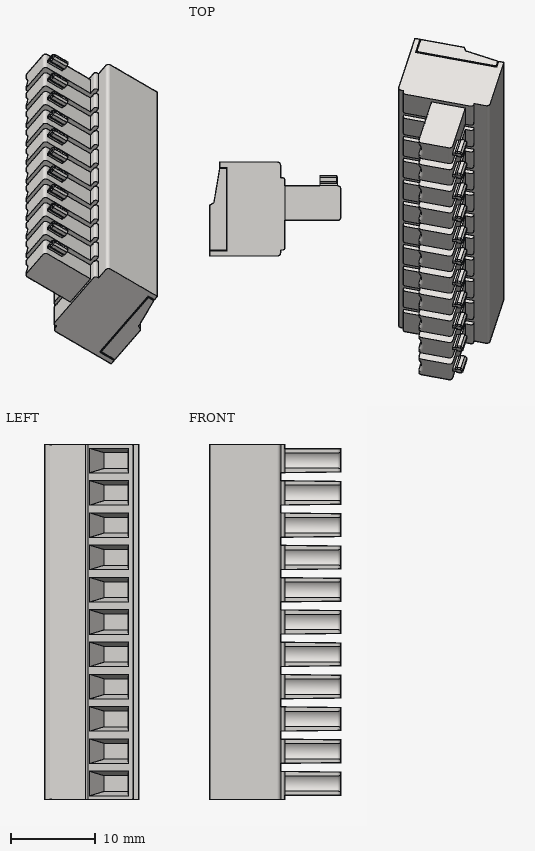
import cadquery as cq
import math

POLE_COUNT = 11
PITCH = 3.81
LENGTH = POLE_COUNT * PITCH

HOUSING_WIDTH = 11.1
HOUSING_DEPTH = 8.4
HOUSING_FILLET = 0.4
TOP_LIP_X = 1.2
TOP_LIP_THICKNESS = 0.65
BEVEL_START_X = 0.5
BEVEL_START_Y = 6.3
BEVEL_END_Y = 6.0

SHOULDER_DEPTH = 0.5
SHOULDER_Y_MIN = 0.7
SHOULDER_Y_MAX = 9.25
SHOULDER_FILLET = 0.3
FINGER_ROOT_X = HOUSING_DEPTH + SHOULDER_DEPTH

PARTING_WIDTH = 0.1
PARTING_DEPTH = 0.1
PARTING_X = 1.98
PARTING_Y_MIN = 0.61
PARTING_Y_MAX = HOUSING_WIDTH - TOP_LIP_THICKNESS

FUNNEL_DEPTH = 2.0
FUNNEL_MOUTH_Y = (1.2, 5.8)
FUNNEL_MOUTH_HEIGHT = 2.9
FUNNEL_FLOOR_Y = (1.3, 4.1)
FUNNEL_FLOOR_HEIGHT = 1.86

FINGER_TIP_X = 15.5
FINGER_Y_MIN = 4.2
FINGER_Y_MAX = 8.3
FINGER_ROOT_HALF_HEIGHT = 1.44
FINGER_DRAFT = 0.7
END_FINGER_MARGIN = 0.5
FINGER_TIP_FILLET = 0.4

GROOVE_RADIUS = 1.5
GROOVE_DEPTH = 0.3

KEY_X_MIN = 13.0
KEY_X_MAX = 15.1
KEY_HEIGHT = 1.2
KEY_NECK_WIDTH = 0.4
KEY_NECK_HEIGHT = 0.25
KEY_FLARE = 0.25
KEY_CHAMFER = 0.25
KEY_TIP_CHAMFER = 0.15

TOLERANCE = 0.01


def pole_z(index):
    """Height of a pole's centre plane."""
    return (index + 0.5) * PITCH


def box(x_range, y_range, z_range):
    """Axis-aligned box from its limits along each axis."""
    corner = (x_range[0], y_range[0], z_range[0])
    spans = [high - low for low, high in (x_range, y_range, z_range)]
    return cq.Workplane("XY").box(*spans, centered=False).translate(corner)


def make_housing():
    outline = [
        (0, 0),
        (HOUSING_DEPTH, 0),
        (HOUSING_DEPTH, HOUSING_WIDTH),
        (TOP_LIP_X, HOUSING_WIDTH),
        (TOP_LIP_X, HOUSING_WIDTH - TOP_LIP_THICKNESS),
        (BEVEL_START_X, BEVEL_START_Y),
        (0, BEVEL_END_Y),
    ]
    housing = cq.Workplane("XY").polyline(outline).close().extrude(LENGTH)
    return housing.edges("|Z and >X").fillet(HOUSING_FILLET)


def make_shoulder():
    x_range = (HOUSING_DEPTH - HOUSING_FILLET, FINGER_ROOT_X)
    plate = box(x_range, (SHOULDER_Y_MIN, SHOULDER_Y_MAX), (0, LENGTH))
    return plate.edges("|Z and >X").fillet(SHOULDER_FILLET)


def make_shoulder_gap(index):
    """Slot through the shoulder between this pole's finger and the next one."""
    low = pole_z(index) + FINGER_ROOT_HALF_HEIGHT
    high = pole_z(index + 1) - FINGER_ROOT_HALF_HEIGHT
    return box((HOUSING_DEPTH, FINGER_ROOT_X), (0, HOUSING_WIDTH), (low, high))


def make_end_parting(z_start):
    """U-shaped groove in an end face: along the -Y rim, behind the face block and along the +Y lip."""
    z_range = (z_start, z_start + PARTING_DEPTH)
    x_range = (PARTING_X, PARTING_X + PARTING_WIDTH)
    y_range = (PARTING_Y_MIN, PARTING_Y_MIN + PARTING_WIDTH)
    rim_leg = box((0, x_range[1]), y_range, z_range)
    rear_leg = box(x_range, (PARTING_Y_MIN, PARTING_Y_MAX), z_range)
    lip_leg = box((0, x_range[1]), (PARTING_Y_MAX - PARTING_WIDTH, PARTING_Y_MAX), z_range)
    return rim_leg.union(rear_leg).union(lip_leg)


def make_face_parting():
    """Groove beside the -Y rim along the whole -X face."""
    y_range = (PARTING_Y_MIN, PARTING_Y_MIN + PARTING_WIDTH)
    return box((0, PARTING_DEPTH), y_range, (0, LENGTH))


def make_funnel(index):
    """Tapered wire opening, wide at the -X face."""
    z = pole_z(index)
    mouth_width = FUNNEL_MOUTH_Y[1] - FUNNEL_MOUTH_Y[0]
    floor_width = FUNNEL_FLOOR_Y[1] - FUNNEL_FLOOR_Y[0]
    floor_shift = (sum(FUNNEL_FLOOR_Y) - sum(FUNNEL_MOUTH_Y)) / 2
    return (
        cq.Workplane("YZ", origin=(0, sum(FUNNEL_MOUTH_Y) / 2, z))
        .rect(mouth_width, FUNNEL_MOUTH_HEIGHT)
        .workplane(offset=FUNNEL_DEPTH)
        .center(floor_shift, 0)
        .rect(floor_width, FUNNEL_FLOOR_HEIGHT)
        .loft(ruled=True)
    )


def make_finger(index):
    z = pole_z(index)
    draft = (FINGER_TIP_X - FINGER_ROOT_X) * math.tan(math.radians(FINGER_DRAFT))
    root_low = z - FINGER_ROOT_HALF_HEIGHT
    root_high = z + FINGER_ROOT_HALF_HEIGHT
    tip_low = root_low + draft
    tip_high = root_high - draft
    if index == 0:
        root_low = tip_low = END_FINGER_MARGIN
    if index == POLE_COUNT - 1:
        root_high = tip_high = LENGTH - END_FINGER_MARGIN
    outline = [
        (FINGER_ROOT_X, root_low),
        (FINGER_TIP_X, tip_low),
        (FINGER_TIP_X, tip_high),
        (FINGER_ROOT_X, root_high),
    ]
    finger = (
        cq.Workplane("XZ", origin=(0, FINGER_Y_MIN, 0))
        .polyline(outline)
        .close()
        .extrude(FINGER_Y_MIN - FINGER_Y_MAX)
    )
    groove = (
        cq.Workplane("YZ", origin=(FINGER_ROOT_X, FINGER_Y_MIN + GROOVE_DEPTH - GROOVE_RADIUS, z))
        .circle(GROOVE_RADIUS)
        .extrude(FINGER_TIP_X - FINGER_ROOT_X)
    )
    tip_edges = cq.selectors.BoxSelector(
        (FINGER_TIP_X - TOLERANCE, FINGER_Y_MIN - TOLERANCE, 0),
        (FINGER_TIP_X + TOLERANCE, FINGER_Y_MIN + GROOVE_DEPTH + TOLERANCE, LENGTH),
    )
    finger = finger.cut(groove)
    finger = finger.edges(">X and >Y").fillet(FINGER_TIP_FILLET)
    return finger.edges(tip_edges).fillet(FINGER_TIP_FILLET)


def make_key(index):
    """Undercut coding key: a narrow neck that flares into a chamfered head."""
    neck = KEY_NECK_WIDTH / 2
    head = neck + KEY_FLARE
    top = FINGER_Y_MAX + KEY_HEIGHT
    neck_top = FINGER_Y_MAX + KEY_NECK_HEIGHT
    right_side = [
        (FINGER_Y_MAX - FINGER_TIP_FILLET, neck),
        (neck_top, neck),
        (neck_top + KEY_FLARE, head),
        (top - KEY_CHAMFER, head),
        (top, head - KEY_CHAMFER),
    ]
    left_side = [(y, -z) for y, z in reversed(right_side)]
    key = (
        cq.Workplane("YZ", origin=(KEY_X_MIN, 0, pole_z(index)))
        .polyline(right_side + left_side)
        .close()
        .extrude(KEY_X_MAX - KEY_X_MIN)
    )
    head_tip_edges = cq.selectors.BoxSelector(
        (KEY_X_MAX - TOLERANCE, neck_top + TOLERANCE, 0),
        (KEY_X_MAX + TOLERANCE, top + TOLERANCE, LENGTH),
    )
    return key.edges(head_tip_edges).chamfer(KEY_TIP_CHAMFER)


result = make_housing().union(make_shoulder())
for gap in range(POLE_COUNT - 1):
    result = result.cut(make_shoulder_gap(gap))
for parting_z in (0, LENGTH - PARTING_DEPTH):
    result = result.cut(make_end_parting(parting_z))
result = result.cut(make_face_parting())
for pole in range(POLE_COUNT):
    result = result.cut(make_funnel(pole)).union(make_finger(pole)).union(make_key(pole))